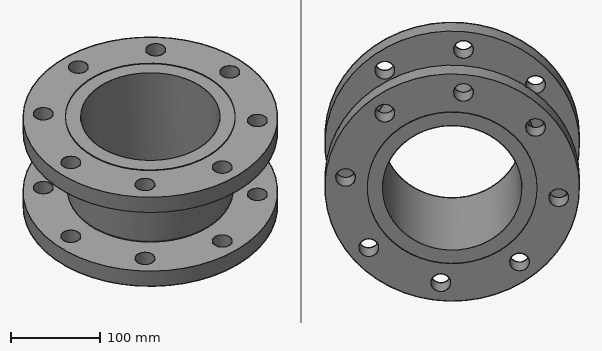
import cadquery as cq

flange_diameter = 285.0
flange_thickness = 22.0
overall_length = 130.0

raised_face_diameter = 190.0
raised_face_height = 0.8

barrel_diameter = 186.0
barrel_edge_radius = 3.2

bore_diameter = 156.0

bolt_count = 8
bolt_circle_diameter = 240.0
bolt_hole_diameter = 22.0

half_length = overall_length / 2
flange_outer_z = half_length - raised_face_height
flange_inner_z = flange_outer_z - flange_thickness


def make_disc(diameter, bottom_z, top_z):
    """Solid disc on the Z axis between two heights."""
    return cq.Workplane("XY").workplane(offset=bottom_z).circle(diameter / 2).extrude(top_z - bottom_z)


def make_barrel():
    """Barrel with rounded end edges meeting both flanges."""
    barrel = make_disc(barrel_diameter, -flange_inner_z, flange_inner_z)
    return barrel.edges("%CIRCLE").fillet(barrel_edge_radius)


def make_flange():
    """Upper flange with its raised sealing face."""
    plate = make_disc(flange_diameter, flange_inner_z, flange_outer_z)
    raised_face = make_disc(raised_face_diameter, flange_outer_z, half_length)
    return plate.union(raised_face)


def make_bolt_holes():
    """Cutters for the bolt holes of both flanges."""
    half_pitch_angle = 180.0 / bolt_count
    return (
        cq.Workplane("XY")
        .workplane(offset=-half_length)
        .polarArray(bolt_circle_diameter / 2, half_pitch_angle, 360, bolt_count)
        .circle(bolt_hole_diameter / 2)
        .extrude(overall_length)
    )


upper_flange = make_flange()
lower_flange = upper_flange.mirror("XY")
bore = make_disc(bore_diameter, -half_length, half_length)

result = make_barrel().union(upper_flange).union(lower_flange).cut(bore).cut(make_bolt_holes())